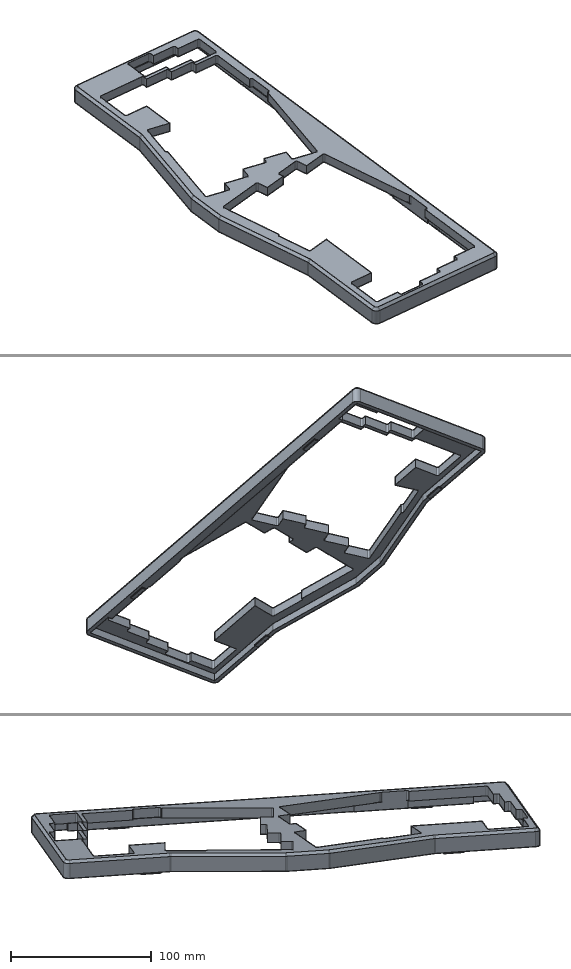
import cadquery as cq
import math


LENGTH = 346.8
WIDTH = 129.45
FOOT_HEIGHT = 1.0
BODY_HEIGHT = 14.3 - FOOT_HEIGHT
HALF_LENGTH = LENGTH / 2
BACK_Y = WIDTH / 2
NOSE_Y = -WIDTH / 2

SPLIT_ANGLE = 12.0
NOSE_HALF_LENGTH = 15.75
BEND_X = 96.3
SIDE_FRONT_Y = NOSE_Y + (BEND_X - NOSE_HALF_LENGTH) * math.tan(math.radians(SPLIT_ANGLE))
CORNER_RADIUS = 4.0
TOP_CHAMFER = 2.0

PITCH = 19.05
SLOT_RADIUS = 1.25
CLEARANCE = SLOT_RADIUS
ONE_KEY = PITCH + CLEARANCE
WIDE_KEY = 1.5 * PITCH + CLEARANCE
ROWS = 5
ROW_STAGGER = 4.15
FIELD_DEPTH = ROWS * PITCH + CLEARANCE

FIELD_FRONT_Y = -40.74
FIELD_BACK_Y = FIELD_FRONT_Y + FIELD_DEPTH
FIELD_RIGHT_X = 169.68
FIELD_LEFT_X = -150.75
LEFT_ROW_2_X = -146.45
RIGHT_CORNER_KEY_X = 166.09
LEFT_SEAM_X = -79.0
RIGHT_SEAM_X = 71.0

SIDE_COLUMN_X = -FIELD_RIGHT_X
SIDE_COLUMN_KEYS = 3

FUNCTION_ROW_BACK_Y = 57.95
LEFT_NOTCH_X = -100.9
RIGHT_NOTCH_X = 79.7

TILT_BACK_ROW_REACH = 90.5
LEFT_TILT_BACK_V = 38.0
LEFT_TILT_OUTER_U = -87.9
LEFT_TILT_INNER_U = (-10.3, -19.83, -15.06, -5.54, 3.1)
RIGHT_TILT_BACK_V = 39.8
RIGHT_TILT_OUTER_U = 78.2
RIGHT_TILT_INNER_U = (10.85, 1.33, 6.09, -3.44)
FRONT_ROW_RAISE = 1.0
FRONT_KEY_DROP = 0.45

WALL = 3.0
PLATE_THICKNESS = 7.3
CAVITY_DEPTH = BODY_HEIGHT - PLATE_THICKNESS
BACK_WALL = 6.1
BACK_WALL_HALF_LENGTH = 147.5
NOTCH_BACKING_LEFT_X = RIGHT_NOTCH_X - PITCH
NOTCH_BACKING_RIGHT_X = RIGHT_NOTCH_X + ONE_KEY

FOOT_LENGTH = 14.6
FOOT_WIDTH = 3.1
FOOT_X = 110.2
FOOT_BACK_Y = 61.0
FOOT_FRONT_Y = -45.0


def outline():
    return (
        cq.Workplane("XY")
        .polyline([
            (-HALF_LENGTH, BACK_Y),
            (HALF_LENGTH, BACK_Y),
            (HALF_LENGTH, SIDE_FRONT_Y),
            (BEND_X, SIDE_FRONT_Y),
            (NOSE_HALF_LENGTH, NOSE_Y),
            (-NOSE_HALF_LENGTH, NOSE_Y),
            (-BEND_X, SIDE_FRONT_Y),
            (-HALF_LENGTH, SIDE_FRONT_Y),
        ])
        .close()
    )


def block(x_min, x_max, y_min, y_max, height):
    """A plain block standing on Z = 0."""
    solid = cq.Workplane("XY").box(x_max - x_min, y_max - y_min, height, centered=False)
    return solid.translate((x_min, y_min, 0))


def cavity():
    """The hollow underside, shallower in Y where the back wall is thickened."""
    hollow = outline().offset2D(-WALL).extrude(CAVITY_DEPTH)
    back_wall = block(
        -BACK_WALL_HALF_LENGTH, BACK_WALL_HALF_LENGTH, BACK_Y - BACK_WALL, BACK_Y, CAVITY_DEPTH
    )
    notch_backing = block(
        NOTCH_BACKING_LEFT_X, NOTCH_BACKING_RIGHT_X, FUNCTION_ROW_BACK_Y, BACK_Y, CAVITY_DEPTH
    )
    return hollow.cut(back_wall).cut(notch_backing)


def shell():
    body = outline().extrude(BODY_HEIGHT).edges("|Z").fillet(CORNER_RADIUS)
    return body.faces(">Z").chamfer(TOP_CHAMFER).cut(cavity())


def slot(x_min, x_max, y_min, y_max):
    """A key opening through the full height, with rounded upright corners."""
    return block(x_min, x_max, y_min, y_max, BODY_HEIGHT).edges("|Z").fillet(SLOT_RADIUS)


def row_slot(x_min, x_max, back_y, first_row, last_row):
    """A slot covering rows first_row to last_row of a field that starts at back_y."""
    y_max = back_y - first_row * PITCH
    y_min = back_y - (last_row + 1) * PITCH - CLEARANCE
    return slot(x_min, x_max, y_min, y_max)


def side_column():
    slots = []
    for key in range(SIDE_COLUMN_KEYS):
        x_min = SIDE_COLUMN_X + (SIDE_COLUMN_KEYS - 1 - key) * ROW_STAGGER
        slots.append(row_slot(x_min, x_min + ONE_KEY, FUNCTION_ROW_BACK_Y, key, key))
    return slots


def notch(x_min):
    return row_slot(x_min, x_min + ONE_KEY, FUNCTION_ROW_BACK_Y, 0, 0)


def left_straight_field():
    slots = [notch(LEFT_NOTCH_X)]
    for row in (0, 1, 2):
        x_min = LEFT_ROW_2_X + (2 - row) * ROW_STAGGER
        slots.append(row_slot(x_min, LEFT_SEAM_X, FIELD_BACK_Y, row, row))
    slots.append(row_slot(FIELD_LEFT_X, LEFT_SEAM_X, FIELD_BACK_Y, 3, 3))
    slots.append(row_slot(FIELD_LEFT_X, FIELD_LEFT_X + WIDE_KEY, FIELD_BACK_Y, 3, 4))
    return slots


def right_straight_field():
    slots = [notch(RIGHT_NOTCH_X)]
    for row in (0, 1, 2, 3):
        x_max = FIELD_RIGHT_X - (3 - row) * ROW_STAGGER
        slots.append(row_slot(RIGHT_SEAM_X, x_max, FIELD_BACK_Y, row, row))
    slots.append(row_slot(RIGHT_CORNER_KEY_X - WIDE_KEY, RIGHT_CORNER_KEY_X, FIELD_BACK_Y, 3, 4))
    return slots


def tilted(slots, angle):
    return [each.rotate((0, 0, 0), (0, 0, 1), angle) for each in slots]


def left_tilted_field():
    back = LEFT_TILT_BACK_V
    front = back - FIELD_DEPTH
    outer = LEFT_TILT_OUTER_U
    inner = LEFT_TILT_INNER_U
    slots = [row_slot(-TILT_BACK_ROW_REACH, inner[0], back, 0, 0)]
    for row in (1, 2, 3):
        slots.append(row_slot(outer, inner[row], back, row, row))
    slots.append(slot(outer, inner[4], front + FRONT_ROW_RAISE, back - 4 * PITCH))
    slots.append(slot(outer, outer + WIDE_KEY, front - FRONT_KEY_DROP, back - PITCH))
    return tilted(slots, -SPLIT_ANGLE)


def right_tilted_field():
    back = RIGHT_TILT_BACK_V
    front = back - FIELD_DEPTH
    outer = RIGHT_TILT_OUTER_U
    inner = RIGHT_TILT_INNER_U
    slots = [row_slot(inner[0], TILT_BACK_ROW_REACH, back, 0, 0)]
    for row in (1, 2):
        slots.append(row_slot(inner[row], outer, back, row, row))
    slots.append(slot(inner[3], outer, front + FRONT_ROW_RAISE, back - 3 * PITCH))
    slots.append(slot(outer - WIDE_KEY, outer, front - FRONT_KEY_DROP, back - PITCH))
    return tilted(slots, SPLIT_ANGLE)


def feet():
    centers = [(x, y) for x in (-FOOT_X, FOOT_X) for y in (FOOT_FRONT_Y, FOOT_BACK_Y)]
    return (
        cq.Workplane("XY")
        .pushPoints(centers)
        .rect(FOOT_LENGTH, FOOT_WIDTH)
        .extrude(-FOOT_HEIGHT)
    )


openings = (
    side_column()
    + left_straight_field()
    + left_tilted_field()
    + right_straight_field()
    + right_tilted_field()
)
frame = shell()
for opening in openings:
    frame = frame.cut(opening)
result = frame.union(feet())